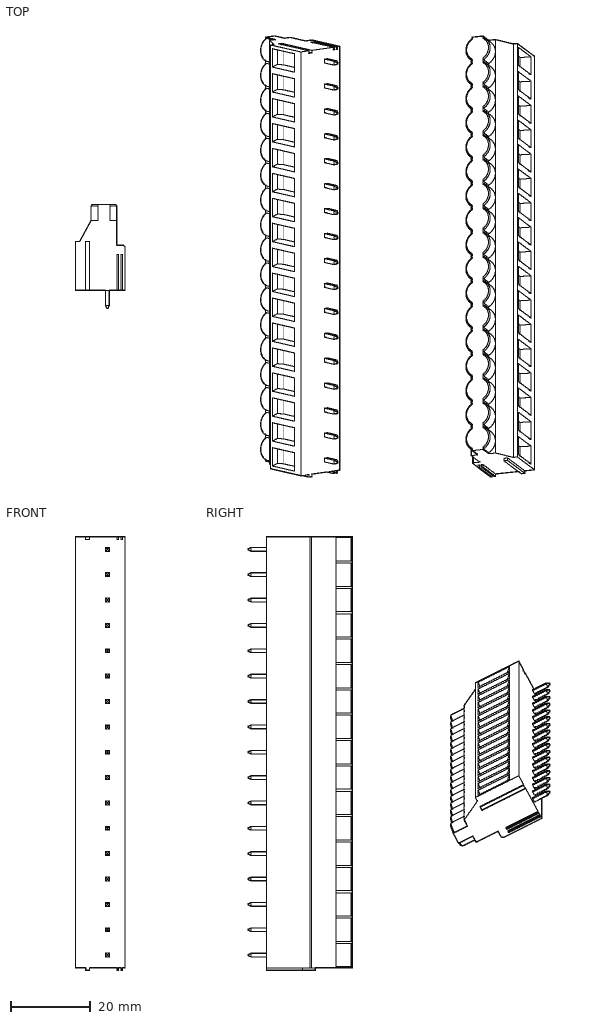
import cadquery as cq


total_length = 108.5
total_height = 26.0
block_width = 12.5
poles = 17
body_length = 107.9

pitch = body_length / poles
body_bottom = total_length - body_length
key_height = body_bottom
pole_centres = [body_bottom + (i + 0.5) * pitch for i in range(poles)]

pin_length = 4.6
housing_height = total_height - pin_length
ledge_height = 12.3
ledge_width = 1.1
shoulder_height = 17.5
shoulder_x = 3.9
back_x = 10.4
shelf_height = 11.3
shelf_chamfer = 0.4

turret_x = (shoulder_x + back_x) / 2
turret_radius = (back_x - shoulder_x) / 2
turret_height = housing_height - shoulder_height
turret_chamfer = 0.3
web_width = 2.9

opening_low = 2.6
opening_high = 11.5
opening_length = 4.7
floor_low = 4.9
floor_high = 9.5
floor_depth = 2.1
floor_edge_depth = 1.6
floor_length = 3.5

pin_x = 8.0
pin_width = 1.0
tip_width = 0.3
tip_length = 0.8

couplings = [
    (2.6, 1.0, ledge_height),
    (10.4, 0.38, 9.0),
    (11.4, 0.38, 9.0),
]


def prism(points, bottom, length):
    """Closed XY outline extruded along Z."""
    return cq.Workplane("XY").workplane(offset=bottom).polyline(points).close().extrude(length)


def make_housing():
    outline = [
        (0, 0),
        (block_width, 0),
        (block_width, shelf_height - shelf_chamfer),
        (block_width - shelf_chamfer, shelf_height),
        (back_x, shelf_height),
        (back_x, shoulder_height),
        (shoulder_x, shoulder_height),
        (ledge_width, ledge_height),
        (0, ledge_height),
    ]
    return prism(outline, body_bottom, body_length)


def make_turrets():
    """Chamfered round turrets on a straight web.

    A turret is wider than the pitch, so the outermost two are
    cut flush with the ends of the housing.
    """
    web = cq.Workplane("XY").box(web_width, turret_height, body_length, centered=(True, False, False))
    turrets = web.translate((turret_x, shoulder_height, body_bottom))
    turret = cq.Workplane("XZ").circle(turret_radius).extrude(-turret_height)
    turret = turret.faces(">Y").chamfer(turret_chamfer)
    for z in pole_centres:
        turrets = turrets.union(turret.translate((turret_x, shoulder_height, z)))
    envelope = cq.Workplane("XY").box(block_width, housing_height, body_length, centered=False)
    return turrets.intersect(envelope.translate((0, 0, body_bottom)))


def make_opening():
    """Funnel-shaped wire opening, centred on Z = 0."""
    outline = [
        (0, opening_low),
        (floor_depth, floor_low),
        (floor_depth, floor_high),
        (floor_edge_depth, opening_high),
        (0, opening_high),
    ]
    funnel = prism(outline, -opening_length / 2, opening_length)
    flare = (
        cq.Workplane("XZ")
        .polyline([
            (0, -opening_length / 2),
            (floor_depth, -floor_length / 2),
            (floor_depth, floor_length / 2),
            (0, opening_length / 2),
        ])
        .close()
        .extrude(-opening_high)
    )
    return funnel.intersect(flare)


def make_pin():
    """Square contact pin with a tapered tip, centred on Z = 0."""
    shank_length = pin_length - tip_length
    shank = cq.Workplane("XZ").center(pin_x, 0).rect(pin_width, pin_width).extrude(shank_length)
    tip = (
        shank.faces("<Y").workplane(centerOption="CenterOfMass")
        .rect(pin_width, pin_width)
        .workplane(offset=tip_length)
        .rect(tip_width, tip_width)
        .loft(combine=False)
    )
    return shank.union(tip)


def make_coupling_bar(x, width, height, bottom):
    bar = cq.Workplane("XY").box(width, height, key_height, centered=False)
    return bar.translate((x, 0, bottom))


result = make_housing().union(make_turrets())

opening = make_opening()
pin = make_pin()
for z in pole_centres:
    result = result.cut(opening.translate((0, 0, z)))
    result = result.union(pin.translate((0, 0, z)))

for x, width, height in couplings:
    result = result.union(make_coupling_bar(x, width, height, 0))
    result = result.cut(make_coupling_bar(x, width, height, total_length - key_height))